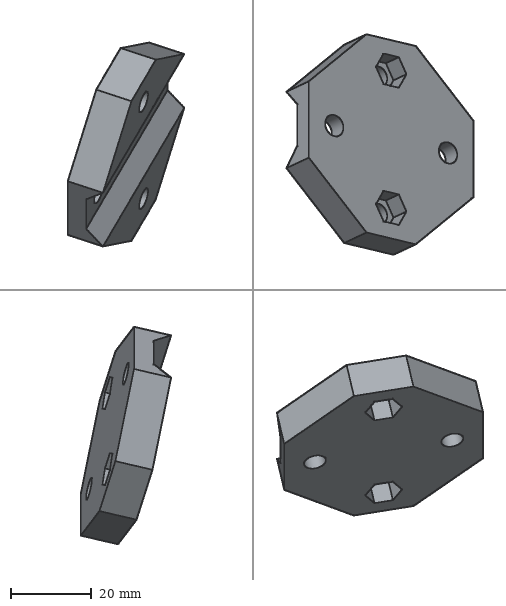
import cadquery as cq
import math

thickness = 9.5
width = 50.0
height = 52.0
end_flat = 15.0
side_flat = 20.0

channel_depth = 4.5
channel_mouth = side_flat
channel_floor = channel_mouth - 2 * channel_depth

bolt_diameter = 5.4
bolt_offset = 18.0
nut_across_flats = 8.0
nut_across_corners = nut_across_flats / math.cos(math.pi / 6)
nut_depth = 5.5

side_hole_diameter = 5.5
side_hole_offset = 17.25

back_x = -thickness / 2
front_x = thickness / 2


def back_plane():
    """Sketch plane on the -X face: local x is Y, local y is Z, normal is +X."""
    return cq.Workplane("YZ", origin=(back_x, 0, 0))


def octagon_plate():
    half_width, half_height = width / 2, height / 2
    half_end, half_side = end_flat / 2, side_flat / 2
    outline = [
        (half_width, -half_side),
        (half_width, half_side),
        (half_end, half_height),
        (-half_end, half_height),
        (-half_width, half_side),
        (-half_width, -half_side),
        (-half_end, -half_height),
        (half_end, -half_height),
    ]
    return back_plane().polyline(outline).close().extrude(thickness)


def channel():
    floor_x = front_x - channel_depth
    profile = [
        (front_x, -channel_mouth / 2),
        (front_x, channel_mouth / 2),
        (floor_x, channel_floor / 2),
        (floor_x, -channel_floor / 2),
    ]
    return cq.Workplane("XZ").polyline(profile).close().extrude(width / 2, both=True)


def through_holes(centres, diameter):
    return back_plane().pushPoints(centres).circle(diameter / 2).extrude(thickness)


def nut_pockets(centres):
    return back_plane().pushPoints(centres).polygon(6, nut_across_corners).extrude(nut_depth)


bolt_centres = [(0, bolt_offset), (0, -bolt_offset)]
side_centres = [(side_hole_offset, 0), (-side_hole_offset, 0)]

result = (
    octagon_plate()
    .cut(channel())
    .cut(through_holes(bolt_centres, bolt_diameter))
    .cut(nut_pockets(bolt_centres))
    .cut(through_holes(side_centres, side_hole_diameter))
)